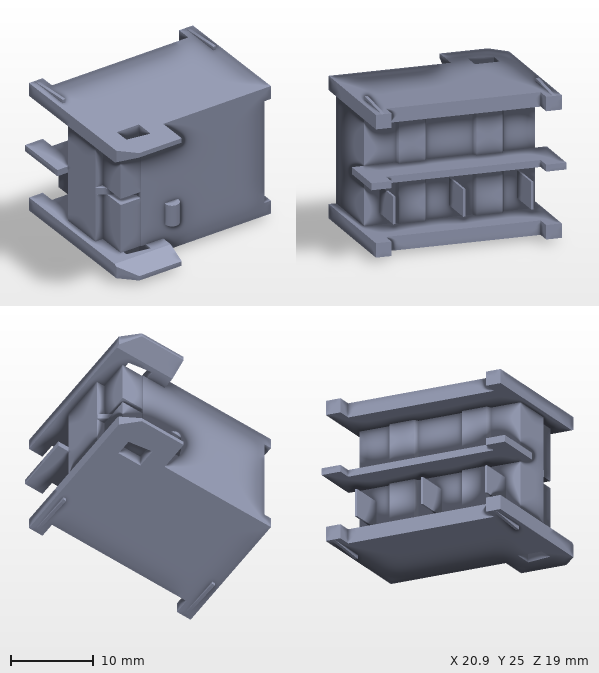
import cadquery as cq


plate_inner_z = 7.2
plate_outer_z = 9.02
plate_half_width = 11.92
plate_right_x = 16.9
leg_length = 2
leg_width = 2
notch_half_width = plate_half_width - leg_width

tab_right_x = 20.9
tab_back_y = -3.75
tab_corner_chamfer = 2
bevel_start_x = 18.52
tab_tip_thickness = 0.62

window_left_x = 15.38
window_right_back_x = 17.92
window_right_front_x = 17.45
window_back_y = -6.28
window_front_y = -9.48

ridge_length = 6.18
ridge_ramp_length = 5.7
ridge_width = 0.4
ridge_height = 0.48

body_left_x = 7
body_right_x = plate_right_x
body_half_width = 10.98
slant_start_x = 13.02
slant_end_x = 15.95
slant_end_y = -6.98

block_left_x = 12.92
block_right_x = 16.8
block_front_y = -9.88

rib_centres_y = (-4.95, 4.95)
rib_base_width = 3.95
rib_crest_width = 3.38
rib_height = 0.58

middle_thickness = 0.88
middle_half_width = 12.5

blade_centres_y = (-8.85, -0.12, 8.85)
blade_left_x = 2
blade_thickness = 0.28
blade_bottom_z = -5.7
blade_top_z = -2.2

button_radius = 0.95
button_centre_x = 17.08
button_centre_y = -2.6
button_bottom_z = -5.22
button_top_z = -2.3


def box(x_range, y_range, z_range):
    """Axis-aligned box between the given limits."""
    (x0, x1), (y0, y1), (z0, z1) = x_range, y_range, z_range
    return cq.Workplane("XY").box(x1 - x0, y1 - y0, z1 - z0, centered=False).translate((x0, y0, z0))


def prism(points, bottom_z, top_z):
    """Upright prism over a closed XY outline."""
    return cq.Workplane("XY").workplane(offset=bottom_z).polyline(points).close().extrude(top_z - bottom_z)


def make_ridge(centre_y):
    """Ramp rising along X on the outer face of the top plate."""
    crest_z = plate_outer_z + ridge_height
    profile = [
        (0, plate_outer_z),
        (ridge_ramp_length, crest_z),
        (ridge_length, crest_z),
        (ridge_length, plate_inner_z),
        (0, plate_inner_z),
    ]
    ridge = cq.Workplane("XZ").polyline(profile).close().extrude(ridge_width / 2, both=True)
    return ridge.translate((0, centre_y, 0))


def make_top_plate():
    """Top plate with legs, bevelled latch tab, window and grip ridges."""
    outline = [
        (0, -plate_half_width),
        (tab_right_x - tab_corner_chamfer, -plate_half_width),
        (tab_right_x, -plate_half_width + tab_corner_chamfer),
        (tab_right_x, tab_back_y),
        (plate_right_x, tab_back_y),
        (plate_right_x, plate_half_width),
        (0, plate_half_width),
        (0, notch_half_width),
        (leg_length, notch_half_width),
        (leg_length, -notch_half_width),
        (0, -notch_half_width),
    ]
    plate = prism(outline, plate_inner_z, plate_outer_z)

    bevel_profile = [
        (bevel_start_x, plate_inner_z),
        (tab_right_x, plate_inner_z),
        (tab_right_x, plate_outer_z - tab_tip_thickness),
    ]
    bevel = cq.Workplane("XZ").polyline(bevel_profile).close().extrude(plate_half_width, both=True)

    window_outline = [
        (window_left_x, window_front_y),
        (window_right_front_x, window_front_y),
        (window_right_back_x, window_back_y),
        (window_left_x, window_back_y),
    ]
    window = prism(window_outline, plate_inner_z, plate_outer_z)

    plate = plate.cut(bevel).cut(window)
    for side in (-1, 1):
        plate = plate.union(make_ridge(side * body_half_width))
    return plate


def make_body():
    """Central body with corner blocks and ribs on its left face."""
    outline = [
        (body_left_x, -body_half_width),
        (slant_start_x, -body_half_width),
        (slant_end_x, slant_end_y),
        (body_right_x, slant_end_y),
        (body_right_x, body_half_width),
        (body_left_x, body_half_width),
    ]
    body = prism(outline, -plate_inner_z, plate_inner_z)

    for z_range in ((-plate_inner_z, -middle_thickness / 2), (middle_thickness / 2, plate_inner_z)):
        block = box((block_left_x, block_right_x), (block_front_y, slant_end_y), z_range)
        step = box((block_left_x, body_right_x), (-body_half_width, block_front_y), z_range)
        body = body.cut(step).union(block)

    crest_x = body_left_x - rib_height
    for centre_y in rib_centres_y:
        rib_outline = [
            (body_left_x, centre_y - rib_base_width / 2),
            (body_left_x, centre_y + rib_base_width / 2),
            (crest_x, centre_y + rib_crest_width / 2),
            (crest_x, centre_y - rib_crest_width / 2),
        ]
        body = body.union(prism(rib_outline, -plate_inner_z, plate_inner_z))
    return body


def make_middle_plate():
    """Thin plate left of the body, notched between its two legs."""
    outline = [
        (0, -middle_half_width),
        (body_left_x, -middle_half_width),
        (body_left_x, middle_half_width),
        (0, middle_half_width),
        (0, notch_half_width),
        (leg_length, notch_half_width),
        (leg_length, -notch_half_width),
        (0, -notch_half_width),
    ]
    return prism(outline, -middle_thickness / 2, middle_thickness / 2)


def make_blade(centre_y):
    """Flat terminal reaching left from the body."""
    y_range = (centre_y - blade_thickness / 2, centre_y + blade_thickness / 2)
    return box((blade_left_x, body_left_x), y_range, (blade_bottom_z, blade_top_z))


def make_button():
    """Half-round button with a short straight base on the body's right face."""
    return (
        cq.Workplane("XY")
        .workplane(offset=button_bottom_z)
        .moveTo(body_right_x, button_centre_y - button_radius)
        .lineTo(button_centre_x, button_centre_y - button_radius)
        .threePointArc(
            (button_centre_x + button_radius, button_centre_y),
            (button_centre_x, button_centre_y + button_radius),
        )
        .lineTo(body_right_x, button_centre_y + button_radius)
        .close()
        .extrude(button_top_z - button_bottom_z)
    )


top_plate = make_top_plate()
bottom_plate = top_plate.mirror("XY")

result = make_body().union(make_middle_plate()).union(top_plate).union(bottom_plate).union(make_button())
for blade_y in blade_centres_y:
    result = result.union(make_blade(blade_y))